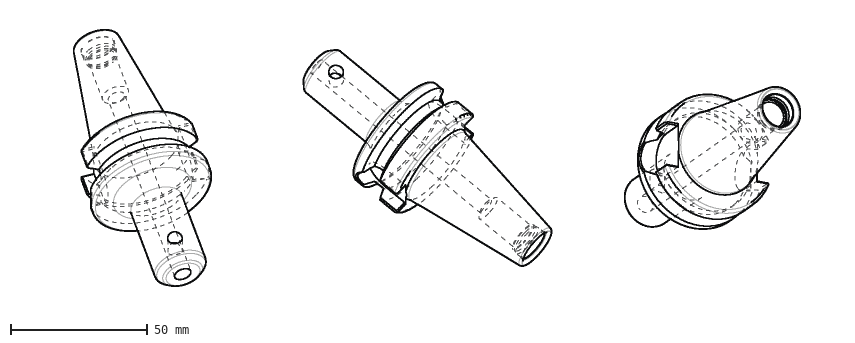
import cadquery as cq
import math

total_length = 108.7
taper_end = 48.8
flange_start = 49.9
flange_end = 70.4

taper_small_radius = 8.8
taper_slope = 7 / 24 / 2
taper_end_radius = taper_small_radius + taper_slope * taper_end
collar_radius = 32.7 / 2
nose_fillet = 0.9

flange_radius = 46.0 / 2
groove_radius = 19.0
groove_start = 58.1
groove_end = 66.0
groove_side_run = 2.0
rim_fillet = 1.1

shank_radius = 19.8 / 2
root_fillet = 5.1
tip_chamfer = 2.7
tip_fillet = 1.6

slot_floor = 16.2
slot_width = 16.1
slot_tip = 68.0
slot_mouth_flare = 0.5
slot_rim_bevel = 0.9
slot_tip_chamfer = 0.5

mouth_radius = 7.8
entry_radius = 13.0 / 2
pilot_radius = 12.5 / 2
shoulder_radius = 5.9
thread_radius = 10.1 / 2
through_radius = 6.3 / 2
mouth_fillet = mouth_radius - entry_radius
entry_depth = 1.6
pilot_depth = 4.7
shoulder_cone_depth = 5.7
shoulder_depth = 6.7
thread_depth = 23.9
drill_half_angle = math.radians(59)

side_hole_diameter = 5.3
side_hole_x = 99.0


def revolve_about_x(profile):
    return profile.close().revolve(360, (0, 0, 0), (1, 0, 0))


def make_body():
    """Taper, grooved flange and shank turned from one outline."""
    arc_center_x = flange_end + root_fillet
    arc_center_r = shank_radius + root_fillet
    arc_offset = root_fillet * math.sqrt(0.5)
    profile = (
        cq.Workplane("XY")
        .lineTo(0, taper_small_radius)
        .lineTo(taper_end, taper_end_radius)
        .lineTo(flange_start, collar_radius)
        .lineTo(flange_start, flange_radius)
        .lineTo(groove_start, flange_radius)
        .lineTo(groove_start + groove_side_run, groove_radius)
        .lineTo(groove_end - groove_side_run, groove_radius)
        .lineTo(groove_end, flange_radius)
        .lineTo(flange_end, flange_radius)
        .lineTo(flange_end, arc_center_r)
        .threePointArc(
            (arc_center_x - arc_offset, arc_center_r - arc_offset),
            (arc_center_x, shank_radius),
        )
        .lineTo(total_length - tip_chamfer, shank_radius)
        .lineTo(total_length, shank_radius - tip_chamfer)
        .lineTo(total_length, 0)
    )
    return revolve_about_x(profile)


def circle_edge(body, x, radius):
    """The circular edge of a turned body at a given station and radius."""
    def matches(edge):
        return (
            edge.geomType() == "CIRCLE"
            and abs(edge.Center().x - x) < 0.01
            and abs(edge.radius() - radius) < 0.01
        )
    return body.edges().filter(matches)


def round_turned_edges(body):
    roundings = [
        (0, taper_small_radius, nose_fillet),
        (flange_start, flange_radius, rim_fillet),
        (flange_end, flange_radius, rim_fillet),
        (total_length - tip_chamfer, shank_radius, tip_fillet),
        (total_length, shank_radius - tip_chamfer, tip_fillet),
    ]
    for x, radius, fillet in roundings:
        body = circle_edge(body, x, radius).fillet(fillet)
    return body


def make_slot(side):
    """Round-ended slot opening toward the taper, with a flared mouth."""
    half = slot_width / 2
    flare = slot_mouth_flare
    center_x = slot_tip - half
    return (
        cq.Workplane("XZ", origin=(0, side * slot_floor, 0))
        .moveTo(flange_start - flare, half + 2 * flare)
        .lineTo(flange_start + flare, half)
        .lineTo(center_x, half)
        .threePointArc((slot_tip, 0), (center_x, -half))
        .lineTo(flange_start + flare, -half)
        .lineTo(flange_start - flare, -half - 2 * flare)
        .close()
        .extrude(-side * flange_radius)
    )


def make_slot_edge_bevel(side, end):
    """Prism that bevels one long edge of a slot where it meets the front rim."""
    half = slot_width / 2
    edge_y = math.sqrt(flange_radius**2 - half**2)
    bevel = slot_rim_bevel
    return (
        cq.Workplane("YZ", origin=(flange_start, 0, 0))
        .moveTo(side * (edge_y - bevel), end * half)
        .lineTo(side * (edge_y + bevel), end * (half + 2 * bevel))
        .lineTo(side * (edge_y + bevel), end * half)
        .close()
        .extrude(groove_start + groove_side_run - flange_start)
    )


def bevel_slot_tips(body):
    """Chamfer the curved edge where each slot tip breaks the rear rim."""
    def is_tip_edge(edge):
        box = edge.BoundingBox()
        reaches_tip = abs(box.xmax - slot_tip) < 0.05
        near_rim = min(abs(box.ymin), abs(box.ymax)) > groove_radius
        return reaches_tip and near_rim
    return body.edges().filter(is_tip_edge).chamfer(slot_tip_chamfer)


def make_bore():
    """Rounded mouth and stepped thread bore ending in a drill cone and a through hole."""
    cone_length = (thread_radius - through_radius) / math.tan(drill_half_angle)
    arc_offset = mouth_fillet * math.sqrt(0.5)
    profile = (
        cq.Workplane("XY")
        .lineTo(0, mouth_radius)
        .threePointArc(
            (mouth_fillet - arc_offset, mouth_radius - arc_offset),
            (mouth_fillet, entry_radius),
        )
        .lineTo(entry_depth, entry_radius)
        .lineTo(entry_depth, pilot_radius)
        .lineTo(pilot_depth, pilot_radius)
        .lineTo(shoulder_cone_depth, shoulder_radius)
        .lineTo(shoulder_depth, shoulder_radius)
        .lineTo(shoulder_depth, thread_radius)
        .lineTo(thread_depth, thread_radius)
        .lineTo(thread_depth + cone_length, through_radius)
        .lineTo(total_length, through_radius)
        .lineTo(total_length, 0)
    )
    return revolve_about_x(profile)


def make_side_hole():
    """Radial hole from the +Z side of the shank into the bore."""
    return (
        cq.Workplane("XY", origin=(side_hole_x, 0, 0))
        .circle(side_hole_diameter / 2)
        .extrude(shank_radius + 1.1)
    )


result = round_turned_edges(make_body())
for slot_side in (-1, 1):
    result = result.cut(make_slot(slot_side))
    for slot_end in (-1, 1):
        result = result.cut(make_slot_edge_bevel(slot_side, slot_end))
result = bevel_slot_tips(result)
result = result.cut(make_bore()).cut(make_side_hole())